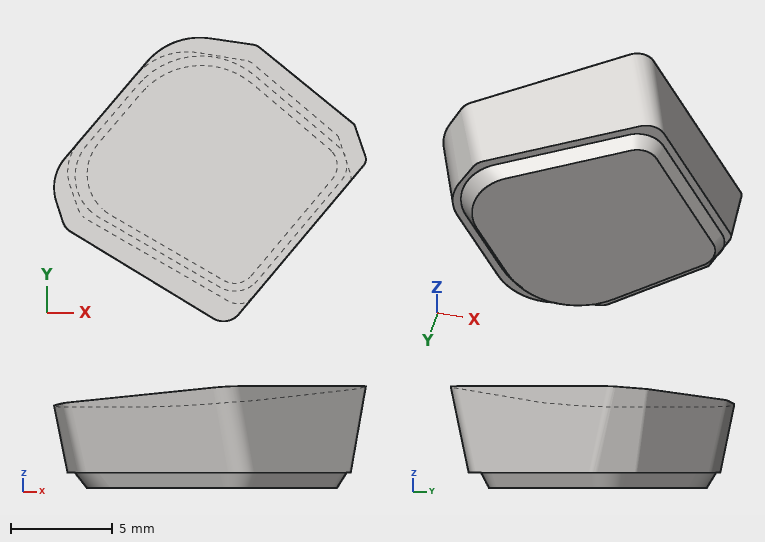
import cadquery as cq
import math

base_height = 0.75
total_height = 5.03
low_side_height = 4.02

base_flare = 27
ledge_width = 0.38

back_left = (139.6, 6.11)
back = (80.7, 6.08)
back_right = (49.7, 5.73)
right = (18.0, 6.68)
front_right = (-40.0, 5.39)
front_left = (-120.0, 4.74)
left = (-160.9, 6.62)
body_sides = [back_left, back, back_right, right, front_right, front_left, left]
back_relief = 13
front_relief = 15
body_reliefs = [0, back_relief, back_relief, back_relief, 0, front_relief, front_relief]
body_radii = [3.32, 0.7, 0.26, 0.45, 1.02, 0.92, 2.14]

base_sides = [back_left, back_right, front_right, front_left]
base_top_radii = [4.11, 1.2, 1.45, 2.34]
base_bottom_radii = [3.92, 1.05, 1.08, 2.34]


def unit(angle):
    return cq.Vector(math.cos(math.radians(angle)), math.sin(math.radians(angle)))


def crossing(side_a, side_b, offset):
    """Point where two sides meet after both are moved outward by offset."""
    (angle_a, distance_a), (angle_b, distance_b) = side_a, side_b
    turn = math.radians(angle_b - angle_a)
    reach_a = distance_a + offset
    reach_b = distance_b + offset
    along = (reach_b - reach_a * math.cos(turn)) / math.sin(turn)
    return unit(angle_a) * reach_a + unit(angle_a + 90) * along


def rounded_outline(sides, radii, offset, z):
    """Closed wire of straight sides joined by tangent arcs, at height z."""
    lift = cq.Vector(0, 0, z)
    arcs = []
    for i, radius in enumerate(radii):
        side = sides[i]
        following = sides[(i + 1) % len(sides)]
        inner_side = (side[0], side[1] - radius)
        inner_following = (following[0], following[1] - radius)
        center = crossing(inner_side, inner_following, offset) + lift
        turn = (following[0] - side[0] + 180) % 360 - 180
        directions = (side[0], side[0] + turn / 2, following[0])
        arcs.append([center + unit(angle) * radius for angle in directions])
    edges = []
    for i, arc in enumerate(arcs):
        edges.append(cq.Edge.makeLine(arcs[i - 1][2], arc[0]))
        edges.append(cq.Edge.makeThreePointArc(*arc))
    return cq.Wire.assembleEdges(edges)


def tapered_block(lower, upper):
    return cq.Workplane(cq.Solid.makeLoft([lower, upper], True))


flare = base_height * math.tan(math.radians(base_flare))
base = tapered_block(
    rounded_outline(base_sides, base_bottom_radii, -ledge_width - flare, 0),
    rounded_outline(base_sides, base_top_radii, -ledge_width, base_height),
)

body_height = total_height - base_height
upper_sides = []
for (angle, distance), relief in zip(body_sides, body_reliefs):
    upper_sides.append((angle, distance + body_height * math.tan(math.radians(relief))))
body = tapered_block(
    rounded_outline(body_sides, body_radii, 0, base_height),
    rounded_outline(upper_sides, body_radii, 0, total_height),
)

top_slope = math.degrees(math.atan2(total_height - low_side_height, front_right[1] + back_left[1]))
high_edge_point = unit(front_right[0]) * front_right[1] + cq.Vector(0, 0, total_height)
top_normal = unit(front_right[0]) * -math.sin(math.radians(top_slope))
top_normal += cq.Vector(0, 0, math.cos(math.radians(top_slope)))
cutter_size = 46.17
top_plane = cq.Plane(high_edge_point, unit(front_right[0] + 90), top_normal)
above_top = cq.Workplane(top_plane).rect(cutter_size, cutter_size).extrude(cutter_size)

result = base.union(body).cut(above_top)